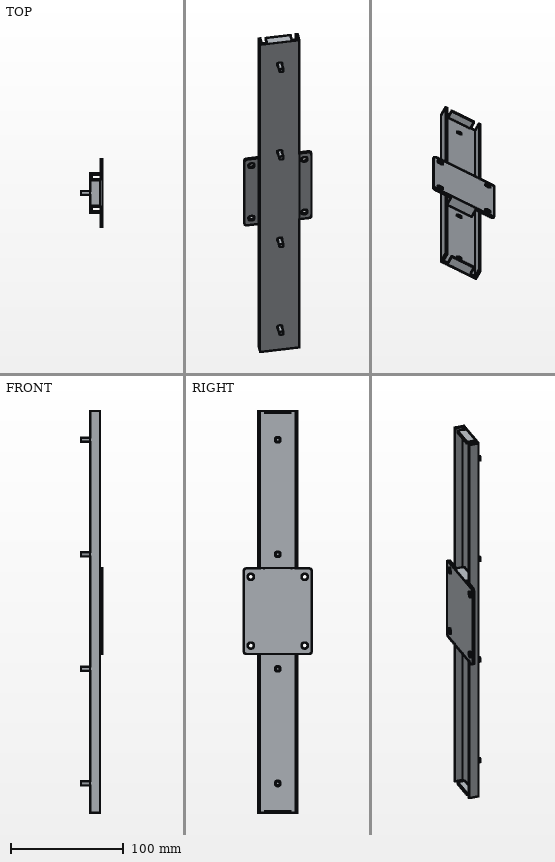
import cadquery as cq

rail_length = 356.0
rail_width = 35.2
rail_depth = 9.0
sheet = 1.8
tab_width = 22.5
tab_reach = 8.5

plate_width = 60.5
plate_height = 76.2
plate_thickness = 1.8
plate_gap = 0.5
carriage_z = 0.7
plate_corner_radius = 3.0
block_width = 24.5
mount_hole_diameter = 5.5
mount_hole_spacing_y = 47.7
mount_hole_spacing_z = 61.0

pin_count = 4
pin_pitch = 101.5
pin_row_z = 0.5
pin_diameter = 4.0
pin_hole_diameter = 4.5
pin_length = 8.2
pin_heights = [pin_row_z + (index - (pin_count - 1) / 2) * pin_pitch for index in range(pin_count)]

FROM_LOW_X = (False, True, True)


def make_rail():
    """U-shaped channel with one thin tab across each end and holes for the pins."""
    channel = cq.Workplane("XY").box(rail_depth, rail_width, rail_length, centered=FROM_LOW_X)
    hollow = (
        cq.Workplane("XY")
        .box(rail_depth, rail_width - 2 * sheet, rail_length, centered=FROM_LOW_X)
        .translate((sheet, 0, 0))
    )
    rail = channel.cut(hollow)
    tab = cq.Workplane("XY").box(tab_reach, tab_width, sheet, centered=FROM_LOW_X)
    for end in (-1, 1):
        rail = rail.union(tab.translate((0, 0, end * (rail_length - sheet) / 2)))
    pin_holes = (
        cq.Workplane("YZ")
        .pushPoints([(0, z) for z in pin_heights])
        .circle(pin_hole_diameter / 2)
        .extrude(sheet)
    )
    return rail.cut(pin_holes)


def make_carriage():
    """Plate across the open side of the channel, with its guide block."""
    plate = (
        cq.Workplane("XY")
        .box(plate_thickness, plate_width, plate_height, centered=FROM_LOW_X)
        .edges("|X")
        .fillet(plate_corner_radius)
        .faces(">X")
        .workplane(centerOption="CenterOfBoundBox")
        .rect(mount_hole_spacing_y, mount_hole_spacing_z, forConstruction=True)
        .vertices()
        .hole(mount_hole_diameter)
        .translate((rail_depth + plate_gap, 0, 0))
    )
    block = (
        cq.Workplane("XY")
        .box(rail_depth + plate_gap - sheet, block_width, plate_height, centered=FROM_LOW_X)
        .translate((sheet, 0, 0))
    )
    return plate.union(block).translate((0, 0, carriage_z))


def make_pin(z):
    """Plain pin through the web, flush with its inner face."""
    pin = cq.Workplane("YZ", origin=(-pin_length, 0, z)).circle(pin_diameter / 2)
    return pin.extrude(pin_length + sheet)


rail = make_rail()
carriage = make_carriage()
pins = [make_pin(z) for z in pin_heights]

result = cq.Compound.makeCompound([rail.val(), carriage.val(), *[pin.val() for pin in pins]])